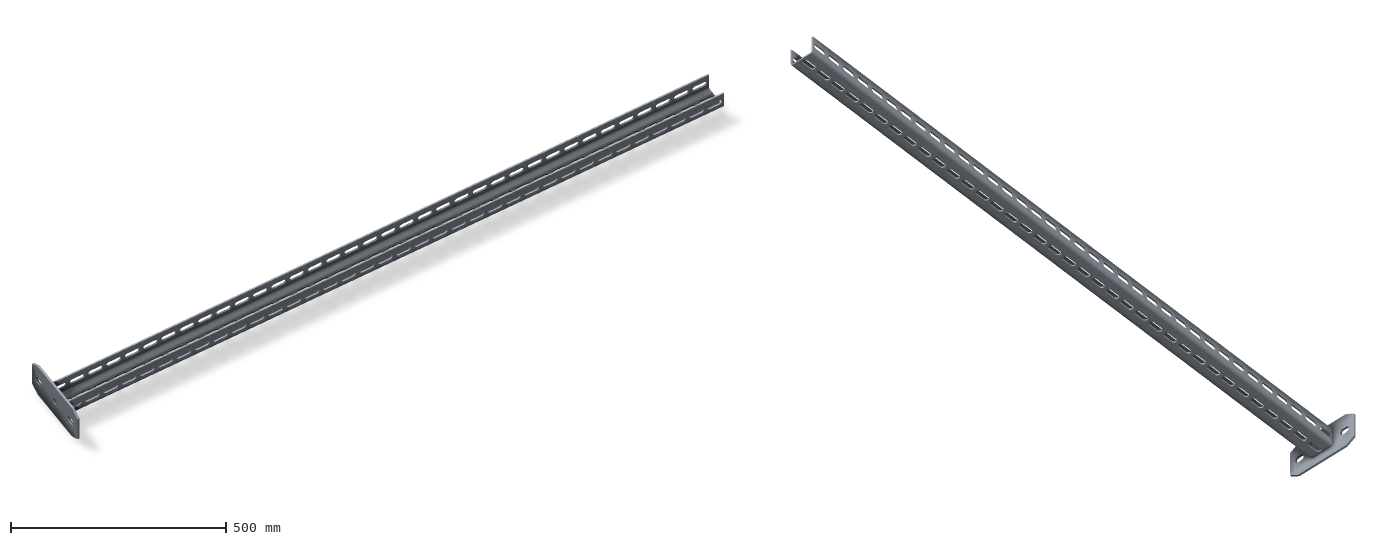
import cadquery as cq

total_length = 1806.0

plate_width = 200.0
plate_height = 100.0
plate_thickness = 6.0
corner_cut_x = 25.0
corner_cut_z = 15.0
plate_slot_length = 27.0
plate_slot_width = 18.0
plate_slot_offset = 70.0
center_hole_diameter = 18.0

rail_width = 70.0
rail_height = 50.0
wall = 4.0
bend_radius = 8.1
rail_length = total_length - plate_thickness

slot_count = 36
slot_length = 40.0
slot_width = 14.0
slot_pitch = rail_length / slot_count

plate_front = -total_length / 2
rail_start = plate_front + plate_thickness


def make_plate():
    """Flat plate with four cut corners, two slots and a round center hole."""
    half_width = plate_width / 2
    half_height = plate_height / 2
    flat_x = half_width - corner_cut_x
    flat_z = half_height - corner_cut_z
    outline = [
        (flat_x, half_height),
        (half_width, flat_z),
        (half_width, -flat_z),
        (flat_x, -half_height),
        (-flat_x, -half_height),
        (-half_width, -flat_z),
        (-half_width, flat_z),
        (-flat_x, half_height),
    ]
    face = cq.Workplane("XZ", origin=(0, plate_front, 0))
    plate = face.polyline(outline).close().extrude(-plate_thickness)
    slots = (
        face.pushPoints([(-plate_slot_offset, 0), (plate_slot_offset, 0)])
        .slot2D(plate_slot_length, plate_slot_width)
        .extrude(-plate_thickness)
    )
    center_hole = face.circle(center_hole_diameter / 2).extrude(-plate_thickness)
    return plate.cut(slots).cut(center_hole)


def make_rail():
    """Bent U channel: a web at the bottom and two upright legs."""
    inner_width = rail_width - 2 * wall
    face = cq.Workplane("XZ", origin=(0, rail_start, 0))
    outside = (
        face.rect(rail_width, rail_height)
        .extrude(-rail_length)
        .edges("|Y and <Z")
        .fillet(bend_radius)
    )
    inside = (
        face.center(0, wall)
        .rect(inner_width, rail_height)
        .extrude(-rail_length)
        .edges("|Y and <Z")
        .fillet(bend_radius - wall)
    )
    return outside.cut(inside)


def slot_row(plane, offset, depth):
    """One row of slots along Y, cutting from the given offset along the plane normal."""
    positions = [
        (rail_start + (index + 0.5) * slot_pitch, 0) for index in range(slot_count)
    ]
    return (
        cq.Workplane(plane)
        .workplane(offset=offset)
        .pushPoints(positions)
        .slot2D(slot_length, slot_width)
        .extrude(depth)
    )


web_plane = cq.Plane(origin=(0, 0, 0), xDir=(0, 1, 0), normal=(0, 0, 1))
leg_plane = cq.Plane(origin=(0, 0, 0), xDir=(0, 1, 0), normal=(1, 0, 0))

rail = make_rail()
rail = rail.cut(slot_row(web_plane, -rail_height / 2, wall))
rail = rail.cut(slot_row(leg_plane, -rail_width / 2, rail_width))

result = make_plate().union(rail)